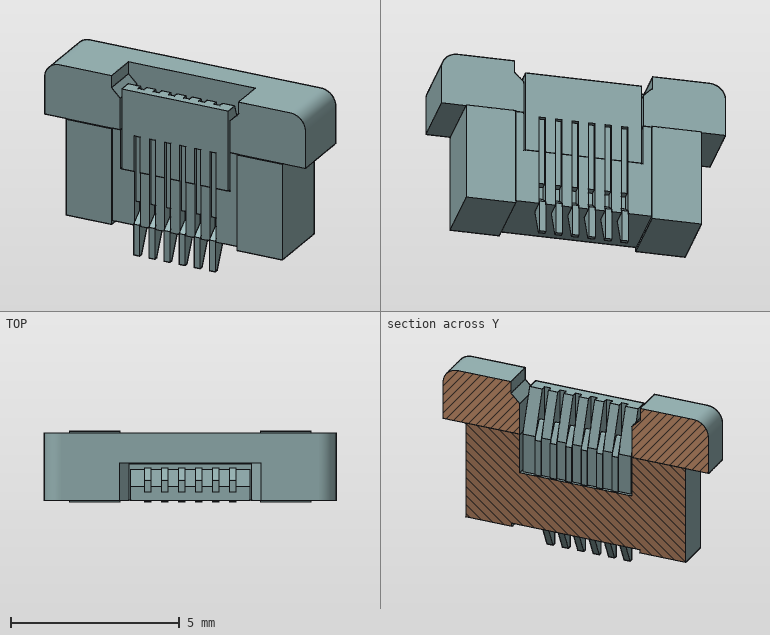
import cadquery as cq
import math


contact_count = 6
contact_pitch = 0.5
contact_width = 0.2

end_block_outer_x = 3.58
end_block_inner_x = 2.08
end_block_depth = 2.1
end_block_height = 3.11
block_depth = 1.98
block_bottom_z = 0.1

actuator_length = 8.65
actuator_depth = 2.01
actuator_height = 1.7
actuator_corner_radius = 0.5
actuator_bottom_z = end_block_height
actuator_top_z = actuator_bottom_z + actuator_height
actuator_front_y = -actuator_depth / 2

cable_slot_half_width = 1.82
notch_chamfer = 0.285
notch_half_width = cable_slot_half_width + notch_chamfer
notch_straight_depth = 0.39
notch_depth_y = 1.12

pocket_depth_y = 1.09
pocket_floor_z = 1.85

tongue_half_width = 1.765
tongue_drop = 0.36
tongue_top_z = actuator_top_z - tongue_drop
tongue_top_thickness = 0.42
tongue_base_thickness = 0.92
wedge_angle = 70.0
wedge_height = (tongue_base_thickness - tongue_top_thickness) * math.tan(math.radians(wedge_angle))
wedge_bottom_z = tongue_top_z - wedge_height

spring_slot_front = 0.26
contact_head_front = 0.6
contact_head_back = 0.96
contact_head_top_z = 3.55
contact_slope_angle = 60.0
contact_crest_radius = 0.09

front_slot_top_z = 3.01
front_slot_depth = 0.12
window_top_z = 0.84
window_depth = 0.355

leg_bottom_z = -0.85
leg_overhang = 0.035
leg_front_y = actuator_front_y - leg_overhang
leg_tip_thickness = 0.13
leg_shoulder_z = 0.16
leg_shoulder_rise = 0.285
leg_root_thickness = 0.59


def box(x_min, x_max, y_min, y_max, z_min, z_max):
    """Axis-aligned box between two corners."""
    size = (x_max - x_min, y_max - y_min, z_max - z_min)
    return cq.Workplane("XY").box(*size, centered=False).translate((x_min, y_min, z_min))


def make_actuator():
    """Round-cornered bar with a chamfered notch in its front."""
    bar = cq.Workplane("XY").box(actuator_length, actuator_depth, actuator_height)
    bar = bar.translate((0, 0, actuator_bottom_z + actuator_height / 2))
    bar = bar.edges("|Y and >Z").fillet(actuator_corner_radius)

    chamfer_top_z = actuator_top_z - notch_straight_depth
    chamfer_bottom_z = chamfer_top_z - notch_chamfer
    right_side = [
        (notch_half_width, actuator_top_z),
        (notch_half_width, chamfer_top_z),
        (cable_slot_half_width, chamfer_bottom_z),
        (cable_slot_half_width, actuator_bottom_z),
    ]
    left_side = [(-x, z) for x, z in reversed(right_side)]
    notch = (
        cq.Workplane("XZ", origin=(0, actuator_front_y, 0))
        .polyline(right_side + left_side)
        .close()
        .extrude(-notch_depth_y)
    )
    return bar.cut(notch)


def make_housing_shell():
    """Central block, end blocks and the open cable pocket."""
    half_block = block_depth / 2
    half_end = end_block_depth / 2
    shell = box(
        -end_block_inner_x, end_block_inner_x,
        -half_block, half_block,
        block_bottom_z, end_block_height,
    )
    for x_min in (-end_block_outer_x, end_block_inner_x):
        x_max = x_min + end_block_outer_x - end_block_inner_x
        shell = shell.union(box(x_min, x_max, -half_end, half_end, 0, end_block_height))
    pocket = box(
        -cable_slot_half_width, cable_slot_half_width,
        actuator_front_y, actuator_front_y + pocket_depth_y,
        pocket_floor_z, end_block_height,
    )
    return shell.cut(pocket)


def make_tongue():
    """Upright wall in the cable pocket, with a wedge-shaped back that guides the cable in."""
    top_back_y = actuator_front_y + tongue_top_thickness
    base_back_y = actuator_front_y + tongue_base_thickness
    profile = [
        (actuator_front_y, pocket_floor_z),
        (actuator_front_y, tongue_top_z),
        (top_back_y, tongue_top_z),
        (base_back_y, wedge_bottom_z),
        (base_back_y, pocket_floor_z),
    ]
    return cq.Workplane("YZ").polyline(profile).close().extrude(tongue_half_width, both=True)


def contact_openings(x_center):
    """Front slot, leg window and rear spring slot of one contact."""
    x_min = x_center - contact_width / 2
    x_max = x_center + contact_width / 2
    front = actuator_front_y
    front_slot = box(x_min, x_max, front, front + front_slot_depth, block_bottom_z, front_slot_top_z)
    window = box(x_min, x_max, front, front + window_depth, block_bottom_z, window_top_z)
    spring_slot = box(
        x_min, x_max,
        front + spring_slot_front, front + tongue_base_thickness,
        pocket_floor_z, tongue_top_z,
    )
    return front_slot.union(window).union(spring_slot)


def contact_head(x_center):
    """Contact in the spring slot, with a rounded crest and a slope down towards the cable."""
    front_y = actuator_front_y + contact_head_front
    back_y = actuator_front_y + contact_head_back
    slope = math.radians(contact_slope_angle)
    crest_center_z = contact_head_top_z - contact_crest_radius

    def crest_point(angle):
        """Point on the crest arc, with the angle measured from its top."""
        y = front_y + contact_crest_radius * math.sin(angle)
        z = crest_center_z + contact_crest_radius * math.cos(angle)
        return y, z

    slope_top_y, slope_top_z = crest_point(slope)
    slope_bottom_z = slope_top_z - (back_y - slope_top_y) * math.tan(slope)
    return (
        cq.Workplane("YZ", origin=(x_center, 0, 0))
        .moveTo(front_y, pocket_floor_z)
        .lineTo(front_y, contact_head_top_z)
        .threePointArc(crest_point(slope / 2), (slope_top_y, slope_top_z))
        .lineTo(back_y, slope_bottom_z)
        .lineTo(back_y, pocket_floor_z)
        .close()
        .extrude(contact_width / 2, both=True)
    )


def solder_leg(x_center):
    """Tapered leg with a sloping shoulder, rooted in the window of the central block."""
    root_y = leg_front_y + leg_root_thickness
    shoulder_y = actuator_front_y + window_depth
    profile = [
        (leg_front_y, leg_bottom_z),
        (leg_front_y, leg_shoulder_z),
        (shoulder_y, leg_shoulder_z + leg_shoulder_rise),
        (root_y, leg_shoulder_z + leg_shoulder_rise),
        (root_y, block_bottom_z),
        (leg_front_y + leg_tip_thickness, leg_bottom_z),
    ]
    return (
        cq.Workplane("YZ", origin=(x_center, 0, 0))
        .polyline(profile)
        .close()
        .extrude(contact_width / 2, both=True)
    )


def make_housing():
    """Housing shell and tongue with the contacts set into them, as one solid."""
    body = make_housing_shell().union(make_tongue())
    for index in range(contact_count):
        x_center = (index - (contact_count - 1) / 2) * contact_pitch
        body = body.cut(contact_openings(x_center))
        body = body.union(contact_head(x_center))
        body = body.union(solder_leg(x_center))
    return body


actuator = make_actuator()
housing = make_housing()
result = cq.Compound.makeCompound([actuator.val(), housing.val()])